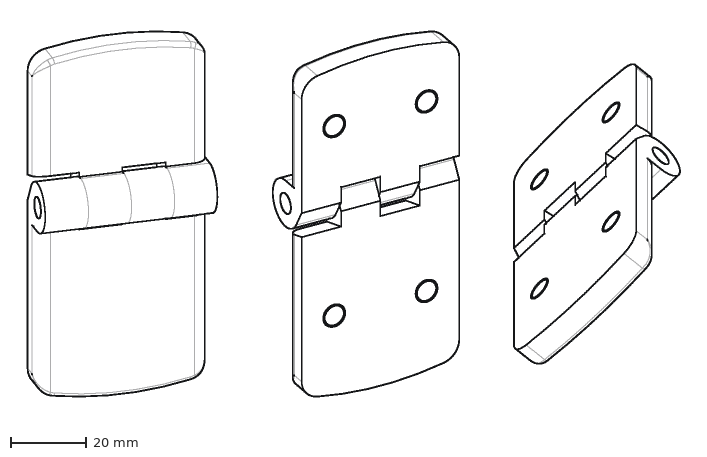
import cadquery as cq
import math

WIDTH = 48.0
THICKNESS = 7.9
UPPER_REACH = 43.5
LOWER_REACH = 57.5
END_ARCH_RADIUS = 100.0
CORNER_RADIUS = 6.0
SIDE_ROUND = THICKNESS / 2
END_ROUND = 1.3

BARREL_RADIUS = 7.0
PIN_X = 8.9
PIN_RADIUS = 2.9
PIN_RECESS = 0.1
KNUCKLE_COUNT = 4
KNUCKLE_WIDTH = WIDTH / KNUCKLE_COUNT
BACK_GAP = 1.3

NOTCH_BACK_Z = 6.0
NOTCH_FRONT_Z = 8.2

SCREW_Y = 14.0
UPPER_SCREW_Z = 25.0
LOWER_SCREW_Z = 32.4
RING_OUTER_RADIUS = 3.3
RING_INNER_RADIUS = 2.9
RING_DEPTH = 0.1


def leaf_plate(reach):
    """Plate from the pin level up to `reach`, with an arched far end and rounded front edges."""
    half = WIDTH / 2
    arch_drop = END_ARCH_RADIUS - math.sqrt(END_ARCH_RADIUS**2 - half**2)
    shoulder = reach - arch_drop
    end_zone = cq.selectors.BoxSelector((-1, -WIDTH, shoulder / 2), (THICKNESS + 1, WIDTH, reach + 1))
    plate = (
        cq.Workplane("YZ")
        .moveTo(-half, 0)
        .lineTo(-half, shoulder)
        .threePointArc((0, reach), (half, shoulder))
        .lineTo(half, 0)
        .close()
        .extrude(THICKNESS)
        .edges("|X")
        .edges(end_zone)
        .fillet(CORNER_RADIUS)
    )
    side_rounded_bar = (
        cq.Workplane("XY")
        .box(THICKNESS, WIDTH, reach, centered=(False, True, False))
        .edges("|Z and >X")
        .fillet(SIDE_ROUND)
    )
    return plate.intersect(side_rounded_bar).faces(">X").edges(">Z").fillet(END_ROUND)


def across_knuckles(profile, first_place):
    """Extrude an XZ outline over every second knuckle place, counted from the -Y end."""
    bar = profile.extrude(-KNUCKLE_WIDTH)
    bars = cq.Workplane("XZ")
    for place in range(first_place, KNUCKLE_COUNT, 2):
        start = place * KNUCKLE_WIDTH - WIDTH / 2
        bars = bars.add(bar.translate((0, start, 0)))
    return bars.combine()


def knuckle_profile():
    """Barrel end with a flat bevel running from the back face to its tangent point."""
    tilt = math.atan2(BACK_GAP, PIN_X)
    spread = math.asin(BARREL_RADIUS / math.hypot(BACK_GAP, PIN_X))
    bevel_angle = tilt + spread
    tangent_x = PIN_X - BARREL_RADIUS * math.sin(bevel_angle)
    tangent_z = -BARREL_RADIUS * math.cos(bevel_angle)
    return (
        cq.Workplane("XZ")
        .moveTo(0, BACK_GAP)
        .lineTo(tangent_x, tangent_z)
        .threePointArc((PIN_X + BARREL_RADIUS, 0), (PIN_X, BARREL_RADIUS))
        .lineTo(0, BARREL_RADIUS)
        .close()
    )


def notch_profile():
    """Clearance under a sloping roof that rises toward the front face."""
    return cq.Workplane("XZ").polyline(
        [(0, 0), (0, NOTCH_BACK_Z), (THICKNESS, NOTCH_FRONT_Z), (THICKNESS, 0)]
    ).close()


def leaf(reach, screw_z, own_place, other_place):
    """Leaf standing above the pin axis, with its knuckles, notches and screw rings."""
    below_knuckles = cq.Workplane("XY").box(
        THICKNESS, WIDTH, NOTCH_BACK_Z, centered=(False, True, False)
    )
    rings = (
        cq.Workplane("YZ")
        .pushPoints([(-SCREW_Y, screw_z), (SCREW_Y, screw_z)])
        .circle(RING_OUTER_RADIUS)
        .circle(RING_INNER_RADIUS)
        .extrude(RING_DEPTH)
    )
    return (
        leaf_plate(reach)
        .cut(below_knuckles)
        .cut(across_knuckles(notch_profile(), other_place))
        .union(across_knuckles(knuckle_profile(), own_place))
        .cut(rings)
    )


def pin_recesses():
    """Shallow circles that mark the pin at both ends of the barrel."""
    recess = cq.Workplane("XZ", origin=(PIN_X, -WIDTH / 2, 0)).circle(PIN_RADIUS).extrude(-PIN_RECESS)
    return recess.union(recess.mirror("XZ"))


upper_leaf = leaf(UPPER_REACH, UPPER_SCREW_Z, own_place=1, other_place=0)
lower_leaf = leaf(LOWER_REACH, LOWER_SCREW_Z, own_place=0, other_place=1).mirror("XY")
result = upper_leaf.union(lower_leaf).cut(pin_recesses())